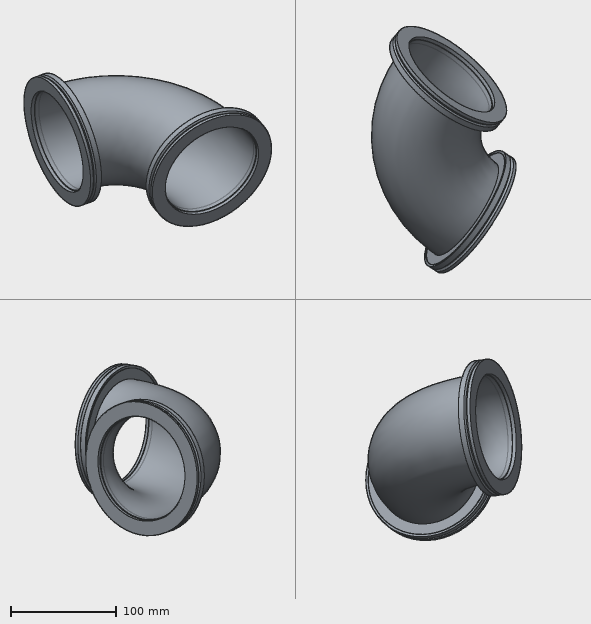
import cadquery as cq

overall_length = 173.0
flange_diameter = 130.0
flange_thickness = 12.0
tube_outer_diameter = 104.0
tube_bore_diameter = 100.0
straight_length = 8.0

counterbore_diameter = 101.5
counterbore_depth = 3.6

groove_offset = 3.1
groove_depth = 1.7
groove_curve_width = 1.9
groove_curve_bulge = 0.26
groove_cone_width = 1.4

back_rim_width = 2.5
back_recess_depth = 0.7

flange_radius = flange_diameter / 2
bend_radius = overall_length - flange_radius - straight_length
inlet_face = cq.Plane(origin=(0, 0, 0), xDir=(1, 0, 0), normal=(0, 1, 0))
outlet_face = cq.Plane(
    origin=(bend_radius + straight_length, bend_radius + straight_length, 0),
    xDir=(0, 1, 0),
    normal=(-1, 0, 0),
)
end_faces = (inlet_face, outlet_face)


def elbow(diameter):
    """Solid quarter bend with a straight stub at each end."""
    path = (
        cq.Workplane("XY")
        .lineTo(0, straight_length)
        .radiusArc((bend_radius, straight_length + bend_radius), bend_radius)
        .lineTo(bend_radius + straight_length, straight_length + bend_radius)
    )
    return cq.Workplane(inlet_face).circle(diameter / 2).sweep(path)


def flange(face):
    """Flange disc with a rim groove and back recess, built inward from its end face."""
    groove_floor = flange_radius - groove_depth
    groove_middle = groove_offset + groove_curve_width
    recess_radius = flange_radius - back_rim_width
    profile = (
        cq.Workplane("XY")
        .lineTo(flange_radius, 0)
        .lineTo(flange_radius, groove_offset)
        .sagittaArc((groove_floor, groove_middle), groove_curve_bulge)
        .lineTo(flange_radius, groove_middle + groove_cone_width)
        .lineTo(flange_radius, flange_thickness)
        .lineTo(recess_radius, flange_thickness)
        .lineTo(recess_radius, flange_thickness - back_recess_depth)
        .lineTo(0, flange_thickness - back_recess_depth)
        .close()
    )
    disc = profile.revolve(360, (0, 0, 0), (0, 1, 0)).val()
    upright = disc.rotate(cq.Vector(0, 0, 0), cq.Vector(1, 0, 0), 90)
    return upright.moved(cq.Location(face))


def counterbore(face):
    return cq.Workplane(face).circle(counterbore_diameter / 2).extrude(counterbore_depth)


result = elbow(tube_outer_diameter)
for end_face in end_faces:
    result = result.union(cq.Workplane(flange(end_face)))
result = result.cut(elbow(tube_bore_diameter))
for end_face in end_faces:
    result = result.cut(counterbore(end_face))